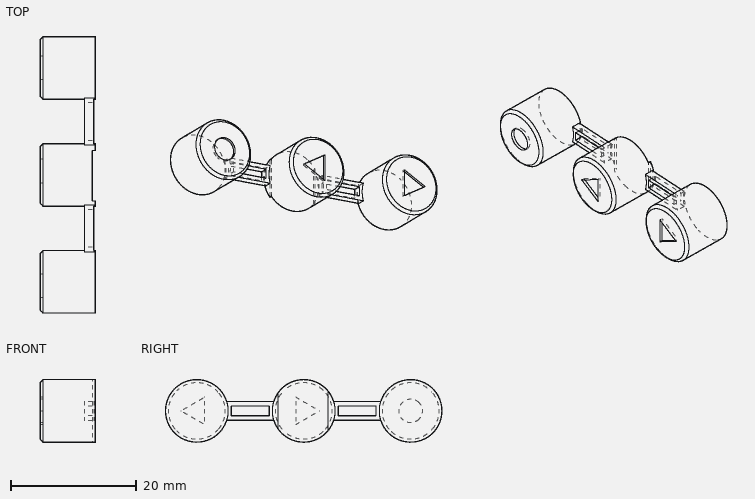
import cadquery as cq
import math

total_length = 44.1
button_diameter = 10.0
button_height = 8.8
button_pitch = (total_length - button_diameter) / 2
face_chamfer = 0.5

symbol_depth = 0.5
circle_diameter = 3.75
triangle_radius = 2.5

link_thickness = 1.5
link_height = 3.0
link_back_gap = 0.243
window_length = 6.0
window_height = 1.5

channel_width = 8.0
channel_depth = 0.5
channel_offset = -0.15


def button(y):
    """Cylinder along X with its face at X = 0 and a chamfered face rim."""
    return (
        cq.Workplane("YZ")
        .center(y, 0)
        .circle(button_diameter / 2)
        .extrude(button_height)
        .faces("<X")
        .chamfer(face_chamfer)
    )


def link(y):
    """Bar reaching between two button axes, with a rectangular window."""
    link_x = button_height - link_back_gap - link_thickness
    start = cq.Workplane("YZ", origin=(link_x, y, 0))
    bar = start.rect(button_pitch, link_height).extrude(link_thickness)
    window = start.rect(window_length, window_height).extrude(link_thickness)
    return bar.cut(window)


def circle_symbol(y):
    return cq.Workplane("YZ").center(y, 0).circle(circle_diameter / 2).extrude(symbol_depth)


def triangle_symbol(y, direction):
    """Equilateral triangle centred at y, pointing along +Y or -Y (direction is 1 or -1)."""
    tip_y = y + direction * triangle_radius
    base_y = y - direction * triangle_radius / 2
    half_base = triangle_radius * math.sqrt(3) / 2
    corners = [(tip_y, 0), (base_y, half_base), (base_y, -half_base)]
    return cq.Workplane("YZ").polyline(corners).close().extrude(symbol_depth)


def back_channel():
    """Channel running the full height of the middle button."""
    return cq.Workplane("XY").box(2 * channel_depth, channel_width, button_diameter).translate(
        (button_height, channel_offset, 0)
    )


result = button(0)
for side in (-1, 1):
    result = result.union(button(side * button_pitch))
    result = result.union(link(side * button_pitch / 2))

result = result.cut(back_channel())
result = result.cut(circle_symbol(button_pitch))
result = result.cut(triangle_symbol(0, 1))
result = result.cut(triangle_symbol(-button_pitch, -1))